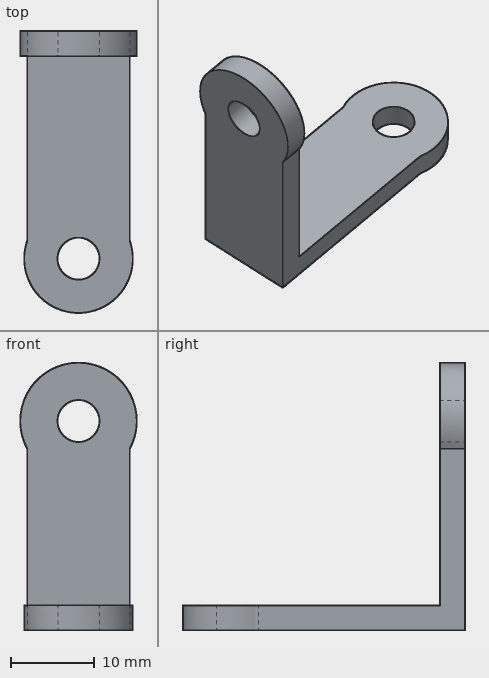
import cadquery as cq

depth = 33.68
height = 31.95
thickness = 3.0
arm_width = 12.25
upper_eye_diameter = 13.95
lower_eye_diameter = 13.0
hole_diameter = 5.0

upper_eye_reach = height - upper_eye_diameter / 2
lower_eye_reach = depth - lower_eye_diameter / 2


def eye_arm(reach, eye_diameter):
    """Flat arm from the origin along +Y, ending in a round eye with a hole."""
    strip = cq.Workplane("XY").rect(arm_width, reach).extrude(thickness).translate((0, reach / 2, 0))
    eye = cq.Workplane("XY").center(0, reach).circle(eye_diameter / 2).extrude(thickness)
    hole = cq.Workplane("XY").center(0, reach).circle(hole_diameter / 2).extrude(thickness)
    return strip.union(eye).cut(hole)


lower_arm = eye_arm(lower_eye_reach, lower_eye_diameter).rotate((0, 0, 0), (0, 0, 1), 180)

upper_arm = eye_arm(upper_eye_reach, upper_eye_diameter).rotate((0, 0, 0), (1, 0, 0), 90)

result = lower_arm.union(upper_arm)